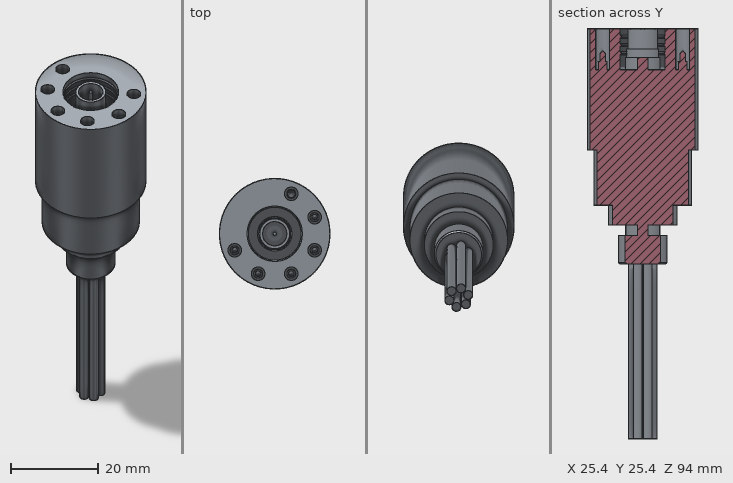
import cadquery as cq
import math

total_height = 94.0

shell_diameter = 25.4
shell_length = 27.8
rear_diameter = 22.4
rear_length = 12.7
collar_diameter = 15.8
collar_length = 4.5
neck_diameter = 7.9
neck_length = 2.35
wire_length = 40.0
cap_diameter = 11.2
cap_chamfer = 0.4

wire_count = 6
wire_diameter = 2.1
wire_ring_radius = 2.3

socket_diameter = 12.7
socket_depth = 9.4
ridge_count = 3
ridge_pitch = 1.9
ridge_height = 0.3
ridge_slope_length = 0.4
sleeve_diameter = 6.9
sleeve_bore = 5.5
sleeve_recess = 0.1
sleeve_base_diameter = 7.9
sleeve_base_height = 2.8
sleeve_step_diameter = 7.3
sleeve_step_height = 4.7
center_pin_diameter = 0.76

contact_circle_diameter = 19.8
contact_count = 6
contact_start_angle = 202.5
contact_angle_pitch = 45.0
contact_bore = 3.1
contact_bore_depth = 9.4
barrel_diameter = 2.1
barrel_height = 1.9
plunger_diameter = 1.3
plunger_height = 1.9
plunger_tip_height = 0.7
receptacle_mouth = 1.8

socket_floor = total_height - socket_depth
contact_floor = total_height - contact_bore_depth


def cylinder(diameter, bottom, height, center=(0, 0)):
    """Upright cylinder standing on the level `bottom`."""
    return cq.Workplane("XY", origin=(*center, bottom)).circle(diameter / 2).extrude(height)


def tube(outer, inner, bottom, height):
    """Upright tube centred on the Z axis."""
    return cylinder(outer, bottom, height).cut(cylinder(inner, bottom, height))


def upright_cone(diameter, base, height, center):
    """Pointed cone; a negative height points it downward."""
    profile = [(0, 0), (diameter / 2, 0), (0, height)]
    cone = cq.Workplane("XZ").polyline(profile).close().revolve(360, (0, 0, 0), (0, 1, 0))
    return cone.translate((*center, base))


def on_contact_ring(angle):
    """Point on the contact ring, angle in degrees from +X."""
    turn = math.radians(angle)
    return (contact_circle_diameter / 2 * math.cos(turn), contact_circle_diameter / 2 * math.sin(turn))


def stepped_body():
    """Solid of revolution built upward from the cap to the shell."""
    cap_length = total_height - wire_length - shell_length - rear_length - collar_length - neck_length
    body = cylinder(cap_diameter, wire_length, cap_length).faces("<Z").chamfer(cap_chamfer)
    level = wire_length + cap_length
    for diameter, length in [
        (neck_diameter, neck_length),
        (collar_diameter, collar_length),
        (rear_diameter, rear_length),
        (shell_diameter, shell_length),
    ]:
        body = body.union(cylinder(diameter, level, length))
        level += length
    return body


def socket_cavity():
    """Bore of the socket, narrowed by inward ridges with sloping upper and lower flanks."""
    radius = socket_diameter / 2
    outline = cq.Workplane("XZ").moveTo(0, total_height).lineTo(radius, total_height)
    for ridge in range(1, ridge_count + 1):
        crest = total_height - ridge * ridge_pitch
        outline = (
            outline.lineTo(radius, crest + ridge_slope_length)
            .lineTo(radius - ridge_height, crest)
            .lineTo(radius, crest - ridge_slope_length)
        )
    outline = outline.lineTo(radius, socket_floor).lineTo(0, socket_floor).close()
    return outline.revolve(360, (0, 0, 0), (0, 1, 0))


def socket_core():
    """Sleeve with a two-step foot, and the centre pin, standing on the socket floor."""
    height = socket_depth - sleeve_recess
    sleeve = tube(sleeve_diameter, sleeve_bore, socket_floor, height)
    base = tube(sleeve_base_diameter, sleeve_bore, socket_floor, sleeve_base_height)
    pin = cylinder(center_pin_diameter, socket_floor, height)
    step = tube(sleeve_step_diameter, sleeve_bore, socket_floor, sleeve_step_height)
    return sleeve.union(step).union(base).union(pin)


def spring_contact(center):
    """Barrel carrying a thinner plunger with a pointed tip."""
    barrel_top = contact_floor + barrel_height
    plunger_top = barrel_top + plunger_height
    barrel = cylinder(barrel_diameter, contact_floor, barrel_height, center)
    plunger = cylinder(plunger_diameter, barrel_top, plunger_height, center)
    tip = upright_cone(plunger_diameter, plunger_top, plunger_tip_height, center)
    return barrel.union(plunger).union(tip)


def receptacle_contact(center):
    """Barrel with a conical dimple in its top."""
    barrel = cylinder(barrel_diameter, contact_floor, barrel_height, center)
    dimple = upright_cone(receptacle_mouth, contact_floor + barrel_height, -receptacle_mouth / 2, center)
    return barrel.cut(dimple)


result = stepped_body().cut(socket_cavity()).union(socket_core())

for index in range(contact_count):
    spot = on_contact_ring(contact_start_angle + index * contact_angle_pitch)
    is_last = index == contact_count - 1
    result = result.cut(cylinder(contact_bore, contact_floor, contact_bore_depth, spot))
    contact = receptacle_contact(spot) if is_last else spring_contact(spot)
    result = result.union(contact)

for index in range(wire_count):
    turn = 2 * math.pi * index / wire_count
    spot = (wire_ring_radius * math.cos(turn), wire_ring_radius * math.sin(turn))
    result = result.union(cylinder(wire_diameter, 0, wire_length, spot))